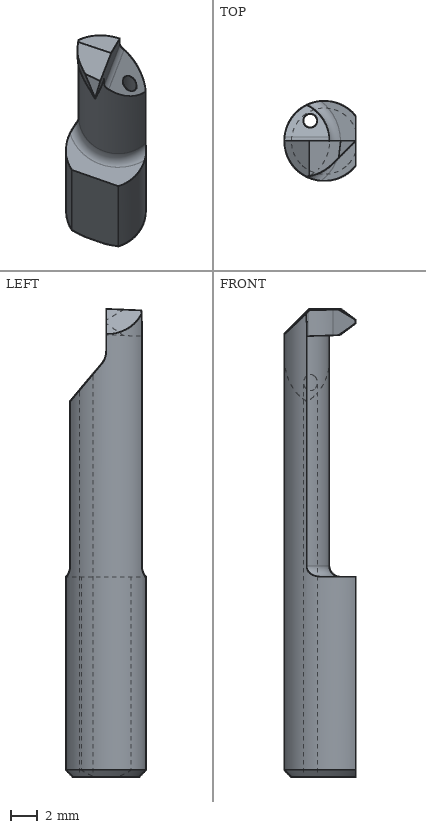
import cadquery as cq
import math


length = 35.0
shank_radius = 3.0
clamp_flat_x = 2.355
end_chamfer = 0.52

neck_radius = 2.98
neck_front_x = 0.4
neck_axis_x = neck_front_x - neck_radius
shoulder_z = 14.98
shoulder_fillet = 0.8

head_height = 1.92
head_bottom_z = length - head_height
tip_x = 2.35
tip_flat = 0.25
tip_base_x = 1.22
relief_angle = 2.5
tip_relief_angle = 7.0
relief_depth = shank_radius
relief_drop = relief_depth * math.tan(math.radians(relief_angle))
top_bevel_x = -1.12
flank_start = (0.63, -1.7)
flank_end = (-1.22, -2.65)

clearance_corner_z = 31.3
clearance_angle = 50.0
clearance_fillet = 1.4

coolant_diameter = 1.0
coolant_x = -1.05
coolant_y = 1.5

margin = 2 * shank_radius


def make_shank():
    """Round bar with a chamfered lower end and a clamping flat on the +X side."""
    bar = cq.Workplane("XY").circle(shank_radius).extrude(length)
    bar = bar.faces("<Z").chamfer(end_chamfer)
    flat = cq.Workplane("XY").box(margin, 2 * margin, length, centered=(False, True, False))
    return bar.cut(flat.translate((clamp_flat_x, 0, 0)))


def make_neck_cutter():
    """Ring around the offset neck axis, rounded where it meets the shoulder."""
    fillet_top_z = shoulder_z + shoulder_fillet
    fillet_outer_radius = neck_radius + shoulder_fillet
    arc_offset = shoulder_fillet * (1 - math.sqrt(0.5))
    ring_radius = neck_radius + margin
    ring = (
        cq.Workplane("XZ")
        .moveTo(neck_radius, length)
        .lineTo(neck_radius, fillet_top_z)
        .threePointArc((neck_radius + arc_offset, shoulder_z + arc_offset), (fillet_outer_radius, shoulder_z))
        .lineTo(ring_radius, shoulder_z)
        .lineTo(ring_radius, length)
        .close()
        .revolve(360, (0, 0, 0), (0, 1, 0))
    )
    return ring.translate((neck_axis_x, 0, 0))


def make_relieved_prism(points, end_points):
    """Solid from an XZ outline at the cutting plane to a second one at the relief depth."""
    return (
        cq.Workplane("XZ")
        .polyline(points)
        .close()
        .workplane(offset=relief_depth)
        .polyline(end_points)
        .close()
        .loft(ruled=True)
    )


def head_outline(tip_inset, drop):
    """XZ points of the head, with the tip drawn in by tip_inset and all lowered by drop."""
    bottom_z = head_bottom_z - drop
    top_z = length - drop
    tip_mid_z = (bottom_z + top_z) / 2
    return [
        (-margin, bottom_z),
        (tip_base_x - tip_inset, bottom_z),
        (tip_x - tip_inset, tip_mid_z - tip_flat / 2),
        (tip_x - tip_inset, tip_mid_z + tip_flat / 2),
        (tip_base_x - tip_inset, top_z),
        (-margin, top_z),
    ]


def make_head():
    """Pointed cutting head, sloping down and drawing in behind the cutting plane."""
    tip_inset = relief_depth * math.tan(math.radians(tip_relief_angle))
    profile = make_relieved_prism(head_outline(0, 0), head_outline(tip_inset, relief_drop))
    plan = (
        cq.Workplane("XY")
        .moveTo(tip_x, 0)
        .lineTo(*flank_start)
        .tangentArcPoint(flank_end, relative=False)
        .lineTo(-shank_radius, -shank_radius)
        .lineTo(-shank_radius, 0)
        .close()
        .extrude(length)
    )
    envelope = cq.Workplane("XY").circle(shank_radius).extrude(length)
    return plan.intersect(profile).intersect(envelope)


def make_top_cutter():
    """Block that ends the neck inside the height of the head."""
    block = cq.Workplane("XY").box(2 * margin, 2 * margin, head_height, centered=(True, True, False))
    return block.translate((0, 0, length - head_height / 2))


def bevel_outline(drop):
    """XZ points of the bevelled-off corner, lowered by drop."""
    bevel_top_z = length - drop
    return [
        (top_bevel_x + margin, bevel_top_z + margin),
        (top_bevel_x - margin, bevel_top_z - margin),
        (top_bevel_x - margin, bevel_top_z + margin),
    ]


def make_bevel_cutter():
    """45 degree bevel on the -X side of the head, sloping with the head's top face."""
    return make_relieved_prism(bevel_outline(0), bevel_outline(relief_drop))


def make_clearance_cutter():
    """Chip clearance on the +Y side: upright wall, rounded corner, sloping floor."""
    slope_drop = margin * math.tan(math.radians(clearance_angle))
    cutter = (
        cq.Workplane("YZ")
        .polyline([
            (0, length),
            (0, clearance_corner_z),
            (margin, clearance_corner_z - slope_drop),
            (margin, length),
        ])
        .close()
        .extrude(margin, both=True)
    )
    corner = cq.selectors.NearestToPointSelector((0, 0, clearance_corner_z))
    return cutter.edges(corner).fillet(clearance_fillet)


def make_coolant_bore():
    """Straight bore running the full length of the bar."""
    return cq.Workplane("XY").center(coolant_x, coolant_y).circle(coolant_diameter / 2).extrude(length)


body = make_shank().cut(make_neck_cutter()).cut(make_top_cutter())
body = body.union(make_head())
body = body.cut(make_bevel_cutter()).cut(make_clearance_cutter())
result = body.cut(make_coolant_bore())